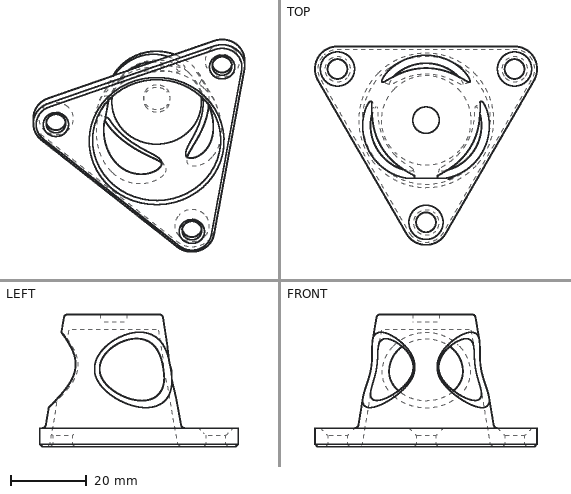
import cadquery as cq
import math

overall_width = 58.75
corner_radius = 6.0
plate_thickness = 5.0
bottom_chamfer = 0.75
screw_circle_radius = (overall_width / 2 - corner_radius) / math.cos(math.radians(30))

screw_count = 3
first_screw_angle = 30
screw_diameter = 5.2
countersink_diameter = 9.05
countersink_angle = 90

total_height = 35.0
tower_height = total_height - plate_thickness
tower_base_radius = 18.05
tower_top_radius = 13.0
tower_slope = (tower_base_radius - tower_top_radius) / tower_height
wall_thickness = 1.8
roof_thickness = 4.0
edge_radius = 1.0

socket_diameter = 7.0
socket_depth = 2.0

window_angles = (90, 210, 330)
window_near_distance = 8.2
window_near_half_width = 5.5
window_near_half_height = 2.95
window_near_height = 21.15
window_far_distance = 18.8
window_widening = 3.3
window_heightening = 1.0
window_rise = 0.12


def build_plate():
    side_distance = screw_circle_radius / 2 + corner_radius
    corner_distance = 2 * side_distance
    triangle = (
        cq.Workplane("XY")
        .transformed(rotate=(0, 0, first_screw_angle))
        .polygon(screw_count, 2 * corner_distance)
        .extrude(plate_thickness)
    )
    return triangle.edges("|Z").fillet(corner_radius)


def build_tower():
    tower = (
        cq.Workplane("XZ")
        .moveTo(0, plate_thickness)
        .lineTo(tower_base_radius, plate_thickness)
        .lineTo(tower_top_radius, total_height)
        .lineTo(0, total_height)
        .close()
        .revolve(360, (0, 0), (0, 1))
    )
    return tower.faces(">Z").edges().fillet(edge_radius)


def build_cavity():
    """Conical hollow parallel to the tower wall, open through the plate."""
    ceiling = total_height - roof_thickness
    bottom_radius = tower_base_radius - wall_thickness + tower_slope * plate_thickness
    ceiling_radius = bottom_radius - tower_slope * ceiling
    return cq.Workplane("XY").add(cq.Solid.makeCone(bottom_radius, ceiling_radius, ceiling))


def build_window(angle):
    """Cutter that flares outward along +X, turned to the given angle about Z."""
    reach = window_far_distance - window_near_distance
    cutter = (
        cq.Workplane("YZ", origin=(window_near_distance, 0, window_near_height))
        .ellipse(window_near_half_width, window_near_half_height)
        .workplane(offset=reach)
        .center(0, window_rise * reach)
        .ellipse(
            window_near_half_width + window_widening * reach,
            window_near_half_height + window_heightening * reach,
        )
        .loft(ruled=True)
    )
    return cutter.rotate((0, 0, 0), (0, 0, 1), angle)


body = build_plate().union(build_tower())
tower_foot = cq.selectors.RadiusNthSelector(-1)
body = body.edges("%CIRCLE").edges(tower_foot).fillet(edge_radius)
body = body.cut(build_cavity())
for window_angle in window_angles:
    body = body.cut(build_window(window_angle))

body = (
    body.faces(">Z")
    .workplane(origin=(0, 0, total_height))
    .hole(socket_diameter, socket_depth)
    .copyWorkplane(cq.Workplane("XY", origin=(0, 0, plate_thickness)))
    .polarArray(screw_circle_radius, first_screw_angle, 360, screw_count)
    .cskHole(screw_diameter, countersink_diameter, countersink_angle)
)
result = body.faces("<Z").edges().chamfer(bottom_chamfer)